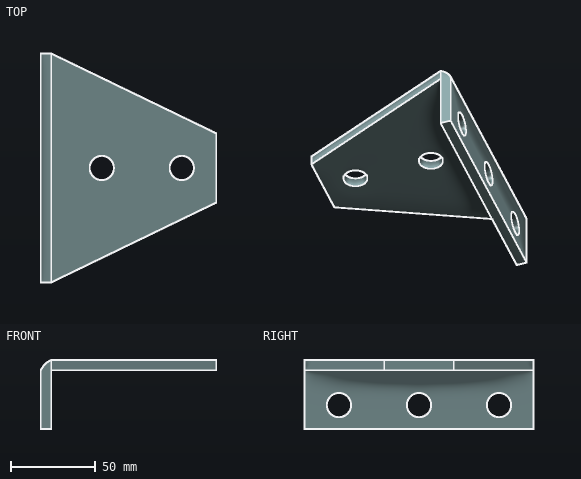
import cadquery as cq

length_x = 104.59
width_y = 136.27
height_z = 41.22

thickness = 6.35
bend_outer_radius = 12.7
tip_width = 41.22

hole_diameter = 14.3
hole_pitch = 47.6
hole_edge_distance = 20.6
flange_hole_height = 14.3

flange_height = height_z - thickness


def make_flange():
    """Upright plate on the -X side."""
    return cq.Workplane("XY").box(thickness, width_y, flange_height, centered=(False, True, False))


def make_bend():
    """Rounded corner strip joining the flange to the top plate."""
    return (
        cq.Workplane("XZ", origin=(0, width_y / 2, 0))
        .moveTo(thickness, flange_height)
        .lineTo(0, flange_height)
        .radiusArc((thickness, height_z), bend_outer_radius)
        .close()
        .extrude(width_y)
    )


def make_top_plate():
    """Horizontal plate tapering from the bend to the narrow tip."""
    outline = [
        (thickness, -width_y / 2),
        (length_x, -tip_width / 2),
        (length_x, tip_width / 2),
        (thickness, width_y / 2),
    ]
    return cq.Workplane("XY", origin=(0, 0, flange_height)).polyline(outline).close().extrude(thickness)


def make_top_hole_cutters():
    """Two vertical holes on the centre line of the top plate."""
    outer_x = length_x - hole_edge_distance
    return (
        cq.Workplane("XY", origin=(0, 0, flange_height))
        .pushPoints([(outer_x - hole_pitch, 0), (outer_x, 0)])
        .circle(hole_diameter / 2)
        .extrude(thickness)
    )


def make_flange_hole_cutters():
    """Three holes through the flange, evenly spaced about its centre."""
    return (
        cq.Workplane("YZ")
        .pushPoints([(step * hole_pitch, flange_hole_height) for step in (-1, 0, 1)])
        .circle(hole_diameter / 2)
        .extrude(thickness)
    )


bracket = make_flange().union(make_bend()).union(make_top_plate())
result = bracket.cut(make_top_hole_cutters()).cut(make_flange_hole_cutters())